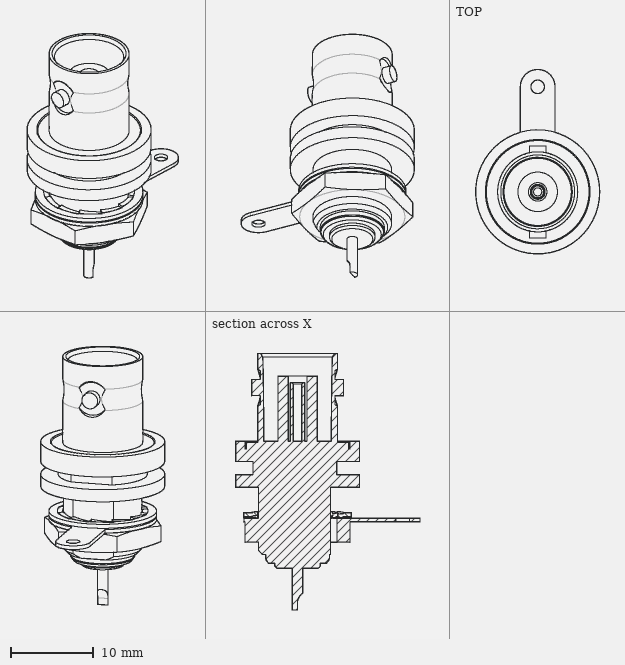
import cadquery as cq
import math


TAIL_SHOULDER_Z = 5.02
TAIL_COLLAR_Z = 5.65
THREAD_END_Z = 6.7
NUT_BOTTOM_Z = 8.18
TAG_BOTTOM_Z = 10.63
TAG_TOP_Z = 11.1
LOWER_FLANGE_BOTTOM_Z = 14.82
LOWER_FLANGE_TOP_Z = 16.35
UPPER_FLANGE_BOTTOM_Z = 17.92
UPPER_FLANGE_TOP_Z = 20.4
LUG_Z = 26.85
TOP_Z = 31.0

BARREL_R = 4.85
WAIST_DEPTH = 0.15
WAIST_HALF_HEIGHT = 1.33
MOUTH_R = 4.45
MOUTH_DEPTH = 0.45
BORE_TOP_R = 4.2
BORE_FLOOR_R = 4.05

LUG_R = 1.0
LUG_TIP_Y = 5.55
LUG_FLAT_Y = 4.53
LUG_FLAT_R = 2.05
LUG_FLAT_TAPER = 30

DIELECTRIC_R = 2.4
DIELECTRIC_TOP_Z = 28.25
DIELECTRIC_HOLE_R = 1.12
CONTACT_R = 0.9
CONTACT_TOP_Z = 27.5
CONTACT_EDGE = 0.1
CONTACT_BORE_R = 0.5
CONTACT_MOUTH_R = 0.7

FLANGE_R = 7.5
FLANGE_GROOVE_OUTER_R = 6.32
FLANGE_GROOVE_INNER_R = 6.2
FLANGE_GROOVE_DEPTH = 0.93
FLANGE_RECESS_DEPTH = 0.12
NECK_R = 5.4
NECK_FLAT_Y = 4.75

THREAD_R = 4.75
THREAD_FLAT_Y = 4.0
THREAD_CHAMFER_R = 4.28
THREAD_CHAMFER_H = 0.5
SHOULDER_R = 3.88
SHOULDER_CHAMFER_R = 3.5
SHOULDER_CHAMFER_H = 0.35
SHOULDER_LEDGE_R = 3.78
SHOULDER_LEDGE_H = 0.15
COLLAR_R = 2.75
COLLAR_CHAMFER = 0.28

TAIL_R = 0.65
CUP_CUTTER_R = 1.5
CUP_CUTTER_Z = 0.85

NUT_ACROSS_FLATS = 12.7
NUT_CORNER_DROP = 0.25

TAG_R = 6.5
TAG_ARM_R = 2.1
TAG_TIP_Y = 14.8
TAG_HOLE_R = 0.8

WASHER_R = TAG_R
WASHER_GAP = 0.15
WASHER_THICKNESS = 0.5
WASHER_BOTTOM_Z = TAG_TOP_Z + WASHER_GAP
TOOTH_OUTER_R = 5.5
TOOTH_INNER_R = 4.85
TOOTH_COUNT = 12
TOOTH_INNER_LIFT = WASHER_GAP
TOOTH_OUTER_LIFT = 0.1


def cylinder(radius, bottom, top):
    return cq.Workplane("XY").workplane(offset=bottom).circle(radius).extrude(top - bottom)


def ring(outer_radius, inner_radius, bottom, top):
    section = cq.Workplane("XY").workplane(offset=bottom).circle(outer_radius).circle(inner_radius)
    return section.extrude(top - bottom)


def revolve(profile):
    """Turn a closed (radius, height) profile drawn in the XZ plane around the Z axis."""
    return profile.close().revolve(360, (0, 0, 0), (0, 1, 0))


def flat_on_back(solid, flat_y):
    """Cut a cylinder down to a flat facing +Y at the given distance from the axis."""
    box = solid.val().BoundingBox()
    waste = cq.Workplane("XY").box(box.xlen, box.ylen, box.zlen, centered=(True, False, False))
    return solid.cut(waste.translate((0, flat_y, box.zmin)))


def lug_cylinder(radius, start_y, end_y, taper=0):
    """Round bar along +Y at the lug height, widening by the taper angle in degrees."""
    plane = cq.Plane(origin=(0, start_y, LUG_Z), xDir=(1, 0, 0), normal=(0, 1, 0))
    return cq.Workplane(plane).circle(radius).extrude(end_y - start_y, taper=-taper)


def make_barrel():
    """Waisted outer barrel with a tapered bore, lug flats and two bayonet lugs."""
    barrel = revolve(
        cq.Workplane("XZ")
        .moveTo(0, UPPER_FLANGE_BOTTOM_Z)
        .lineTo(BARREL_R, UPPER_FLANGE_BOTTOM_Z)
        .lineTo(BARREL_R, LUG_Z - WAIST_HALF_HEIGHT)
        .threePointArc((BARREL_R - WAIST_DEPTH, LUG_Z), (BARREL_R, LUG_Z + WAIST_HALF_HEIGHT))
        .lineTo(BARREL_R, TOP_Z)
        .lineTo(MOUTH_R, TOP_Z)
        .lineTo(BORE_TOP_R, TOP_Z - MOUTH_DEPTH)
        .lineTo(BORE_FLOOR_R, UPPER_FLANGE_TOP_Z)
        .lineTo(0, UPPER_FLANGE_TOP_Z)
    )
    pocket = lug_cylinder(LUG_FLAT_R, LUG_FLAT_Y, LUG_TIP_Y, LUG_FLAT_TAPER)
    lug = lug_cylinder(LUG_R, (BORE_TOP_R + LUG_FLAT_Y) / 2, LUG_TIP_Y)
    for turn in (0, 180):
        barrel = barrel.cut(pocket.rotate((0, 0, 0), (0, 0, 1), turn))
        barrel = barrel.union(lug.rotate((0, 0, 0), (0, 0, 1), turn))
    return barrel


def make_socket_core():
    """Dielectric sleeve and the hollow center contact standing on the bore floor."""
    sleeve = ring(DIELECTRIC_R, DIELECTRIC_HOLE_R, UPPER_FLANGE_BOTTOM_Z, DIELECTRIC_TOP_Z)
    mouth_depth = CONTACT_MOUTH_R - CONTACT_BORE_R
    contact = revolve(
        cq.Workplane("XZ")
        .moveTo(CONTACT_BORE_R, UPPER_FLANGE_BOTTOM_Z)
        .lineTo(CONTACT_R, UPPER_FLANGE_BOTTOM_Z)
        .lineTo(CONTACT_R, CONTACT_TOP_Z - CONTACT_EDGE)
        .lineTo(CONTACT_R - CONTACT_EDGE, CONTACT_TOP_Z)
        .lineTo(CONTACT_MOUTH_R, CONTACT_TOP_Z)
        .lineTo(CONTACT_BORE_R, CONTACT_TOP_Z - mouth_depth)
    )
    return sleeve.union(contact)


def make_bushing():
    """Two flanges on a flatted neck; the upper face is recessed within a narrow groove."""
    recess_floor_z = UPPER_FLANGE_TOP_Z - FLANGE_RECESS_DEPTH
    recess = ring(FLANGE_GROOVE_OUTER_R, BARREL_R, recess_floor_z, UPPER_FLANGE_TOP_Z)
    upper = cylinder(FLANGE_R, UPPER_FLANGE_BOTTOM_Z, UPPER_FLANGE_TOP_Z)
    groove_floor_z = UPPER_FLANGE_TOP_Z - FLANGE_GROOVE_DEPTH
    groove = ring(FLANGE_GROOVE_OUTER_R, FLANGE_GROOVE_INNER_R, groove_floor_z, UPPER_FLANGE_TOP_Z)
    neck = flat_on_back(cylinder(NECK_R, LOWER_FLANGE_TOP_Z, UPPER_FLANGE_BOTTOM_Z), NECK_FLAT_Y)
    lower = cylinder(FLANGE_R, LOWER_FLANGE_BOTTOM_Z, LOWER_FLANGE_TOP_Z)
    return upper.cut(recess).cut(groove).union(neck).union(lower)


def make_shank():
    """Threaded length with a flat, then two chamfered steps and a fine ledge towards the tail."""
    thread = revolve(
        cq.Workplane("XZ")
        .moveTo(0, THREAD_END_Z)
        .lineTo(THREAD_CHAMFER_R, THREAD_END_Z)
        .lineTo(THREAD_R, THREAD_END_Z + THREAD_CHAMFER_H)
        .lineTo(THREAD_R, LOWER_FLANGE_BOTTOM_Z)
        .lineTo(0, LOWER_FLANGE_BOTTOM_Z)
    )
    ledge_z = TAIL_COLLAR_Z + SHOULDER_CHAMFER_H + SHOULDER_LEDGE_H
    steps = revolve(
        cq.Workplane("XZ")
        .moveTo(0, TAIL_SHOULDER_Z)
        .lineTo(COLLAR_R - COLLAR_CHAMFER, TAIL_SHOULDER_Z)
        .lineTo(COLLAR_R, TAIL_SHOULDER_Z + COLLAR_CHAMFER)
        .lineTo(COLLAR_R, TAIL_COLLAR_Z)
        .lineTo(SHOULDER_CHAMFER_R, TAIL_COLLAR_Z)
        .lineTo(SHOULDER_LEDGE_R, TAIL_COLLAR_Z + SHOULDER_CHAMFER_H)
        .lineTo(SHOULDER_LEDGE_R, ledge_z)
        .lineTo(SHOULDER_R, ledge_z)
        .lineTo(SHOULDER_R, THREAD_END_Z)
        .lineTo(0, THREAD_END_Z)
    )
    return flat_on_back(thread, THREAD_FLAT_Y).union(steps)


def make_tail():
    """Contact tail whose +Y half is milled away at the tip with a round run-out."""
    tail = cylinder(TAIL_R, 0, TAIL_SHOULDER_Z)
    cutter = (
        cq.Workplane("YZ")
        .center(CUP_CUTTER_R, CUP_CUTTER_Z)
        .circle(CUP_CUTTER_R)
        .extrude(TAIL_R, both=True)
    )
    tip_waste = cq.Workplane("XY").box(
        2 * TAIL_R, TAIL_R, CUP_CUTTER_Z, centered=(True, False, False)
    )
    return tail.cut(cutter).cut(tip_waste)


def make_nut():
    """Hexagon with two corners on the X axis and both faces turned down at the corners."""
    flat_r = NUT_ACROSS_FLATS / 2
    corner_r = flat_r / math.cos(math.radians(30))
    hexagon = (
        cq.Workplane("XY")
        .workplane(offset=NUT_BOTTOM_Z)
        .polygon(6, 2 * corner_r)
        .extrude(TAG_BOTTOM_Z - NUT_BOTTOM_Z)
    )
    turned = revolve(
        cq.Workplane("XZ")
        .moveTo(THREAD_R, NUT_BOTTOM_Z)
        .lineTo(flat_r, NUT_BOTTOM_Z)
        .lineTo(corner_r, NUT_BOTTOM_Z + NUT_CORNER_DROP)
        .lineTo(corner_r, TAG_BOTTOM_Z - NUT_CORNER_DROP)
        .lineTo(flat_r, TAG_BOTTOM_Z)
        .lineTo(THREAD_R, TAG_BOTTOM_Z)
    )
    return hexagon.intersect(turned)


def make_tag():
    """Flat ring with a round-ended, drilled arm reaching out along +Y."""
    thickness = TAG_TOP_Z - TAG_BOTTOM_Z
    hole_y = TAG_TIP_Y - TAG_ARM_R
    arm = (
        cq.Workplane("XY")
        .workplane(offset=TAG_BOTTOM_Z)
        .moveTo(-TAG_ARM_R, 0)
        .lineTo(TAG_ARM_R, 0)
        .lineTo(TAG_ARM_R, hole_y)
        .threePointArc((0, TAG_TIP_Y), (-TAG_ARM_R, hole_y))
        .close()
        .extrude(thickness)
    )
    tag = cylinder(TAG_R, TAG_BOTTOM_Z, TAG_TOP_Z).union(arm)
    eye = cylinder(TAG_HOLE_R, TAG_BOTTOM_Z, TAG_TOP_Z).translate((0, hole_y, 0))
    return tag.cut(cylinder(THREAD_R, TAG_BOTTOM_Z, TAG_TOP_Z)).cut(eye)


def make_connector():
    connector = make_barrel()
    for feature in (
        make_socket_core(),
        make_bushing(),
        make_shank(),
        make_tail(),
        make_nut(),
        make_tag(),
    ):
        connector = connector.union(feature)
    return connector


def tooth_section(angle, direction):
    """Radial section of a tooth, lifted (+1) or dropped (-1), most at its inner edge."""
    radial = cq.Vector(math.cos(angle), math.sin(angle), 0)
    slope = (TOOTH_OUTER_LIFT - TOOTH_INNER_LIFT) / (TOOTH_OUTER_R - TOOTH_INNER_R)
    outer_r = WASHER_R
    outer_lift = TOOTH_INNER_LIFT + slope * (outer_r - TOOTH_INNER_R)
    inner_z = WASHER_BOTTOM_Z + direction * TOOTH_INNER_LIFT
    outer_z = WASHER_BOTTOM_Z + direction * outer_lift
    bottom_inner = radial * TOOTH_INNER_R + cq.Vector(0, 0, inner_z)
    bottom_outer = radial * outer_r + cq.Vector(0, 0, outer_z)
    rise = cq.Vector(0, 0, WASHER_THICKNESS)
    corners = [bottom_inner, bottom_outer, bottom_outer + rise, bottom_inner + rise]
    return cq.Wire.makePolygon(corners, close=True)


def make_tooth(index):
    """One twisted tooth, high where it starts and low where the next one begins."""
    pitch = 2 * math.pi / TOOTH_COUNT
    start = index * pitch
    wedge = cq.Solid.makeLoft([tooth_section(start, 1), tooth_section(start + pitch, -1)], True)
    band = ring(
        TOOTH_OUTER_R,
        TOOTH_INNER_R,
        WASHER_BOTTOM_Z - WASHER_GAP,
        WASHER_BOTTOM_Z + WASHER_THICKNESS + TOOTH_INNER_LIFT,
    )
    return band.intersect(cq.Workplane(wedge))


def make_lock_washer():
    washer = ring(WASHER_R, TOOTH_OUTER_R, WASHER_BOTTOM_Z, WASHER_BOTTOM_Z + WASHER_THICKNESS)
    for index in range(TOOTH_COUNT):
        washer = washer.union(make_tooth(index))
    return washer


connector = make_connector()
lock_washer = make_lock_washer()

result = cq.Compound.makeCompound([*connector.solids().vals(), *lock_washer.solids().vals()])